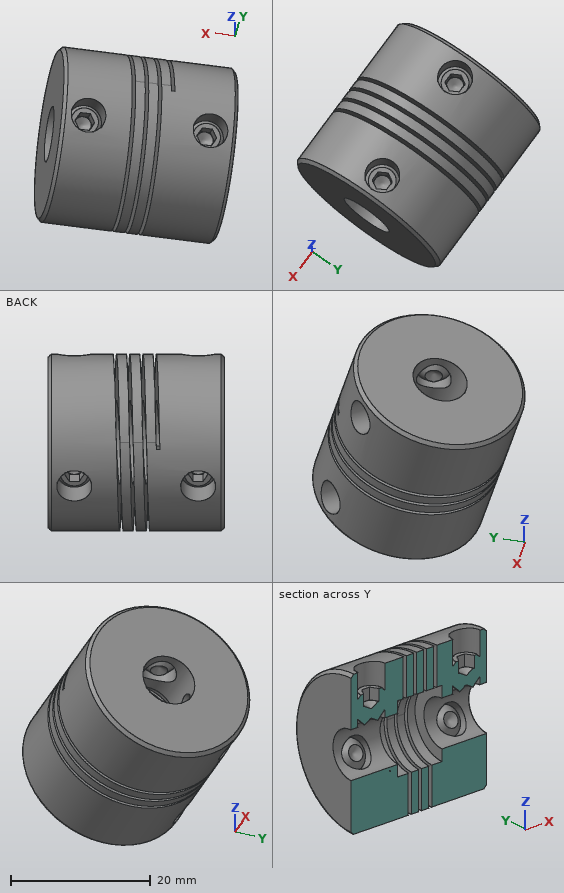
import cadquery as cq
import math

length = 25.4
outer_radius = 12.7
edge_chamfer = 0.5
bore_diameter = 8.0
bore_radius = bore_diameter / 2

relief_radius = 6.0
slot_width = 0.5
slot_pitch = 1.9
slot_turns = 3.5
slot_end_x = 3.53
slot_end_angle = 175.5
slot_length = slot_pitch * slot_turns
slot_start_x = slot_end_x - slot_length
slot_start_angle = slot_end_angle - 360 * slot_turns
slot_overcut = 0.5
slot_inner_radius = (bore_radius + relief_radius) / 2
slot_outer_radius = outer_radius + slot_overcut
relief_margin = 0.5
relief_start_x = slot_start_x - slot_width / 2 - relief_margin
relief_end_x = slot_end_x + slot_width / 2 + relief_margin

screw_diameter = 5.0
screw_radius = screw_diameter / 2
screw_length = 5.0
screw_offset = 8.9
screw_angles = (0, 120)
screw_chamfer = 0.5
socket_sides = 6
socket_flats = 2.5
socket_depth = 2.0
cup_radius = 1.25
cone_slope = math.radians(30)
cup_depth = cup_radius * math.tan(cone_slope)
tip_height = screw_radius - cup_radius


def cylinder_along_x(radius, start_x, end_x):
    """Solid cylinder centred on the shaft axis."""
    return cq.Workplane("YZ").workplane(offset=start_x).circle(radius).extrude(end_x - start_x)


def helical_slot():
    """Rectangular section swept along a helix, then turned from Z onto X."""
    helix = cq.Wire.makeHelix(slot_pitch, slot_length, outer_radius)
    slot = (
        cq.Workplane("XZ")
        .center((slot_inner_radius + slot_outer_radius) / 2, 0)
        .rect(slot_outer_radius - slot_inner_radius, slot_width)
        .sweep(cq.Workplane(obj=helix), isFrenet=True)
        .rotate((0, 0, 0), (0, 0, 1), slot_start_angle)
    )
    axis_plane = cq.Plane(origin=(slot_start_x, 0, 0), xDir=(0, 1, 0), normal=(1, 0, 0))
    return cq.Workplane(obj=slot.val().moved(cq.Location(axis_plane)))


def set_screw():
    """Upright cup-point screw whose tip just reaches the bore wall."""
    tip_z = bore_radius
    top_z = tip_z + screw_length
    screw = (
        cq.Workplane("XZ")
        .moveTo(0, tip_z + cup_depth)
        .lineTo(cup_radius, tip_z)
        .lineTo(screw_radius, tip_z + tip_height)
        .lineTo(screw_radius, top_z - screw_chamfer)
        .lineTo(screw_radius - screw_chamfer, top_z)
        .lineTo(0, top_z)
        .close()
        .revolve(360, (0, 0, 0), (0, 1, 0))
    )
    corner_diameter = socket_flats / math.cos(math.pi / socket_sides)
    socket_floor_z = top_z - socket_depth
    floor = cq.Workplane("XY").workplane(offset=socket_floor_z)
    socket = floor.polygon(socket_sides, corner_diameter).extrude(socket_depth)
    point_radius = socket_flats / 2
    point_depth = point_radius * math.tan(cone_slope)
    drill_point = cq.Solid.makeCone(
        point_radius, 0, point_depth, cq.Vector(0, 0, socket_floor_z), cq.Vector(0, 0, -1)
    )
    return screw.cut(socket).cut(cq.Workplane(obj=drill_point))


def place_screw_feature(feature, side, angle):
    """Move an upright feature to one hub and swing it about the shaft axis."""
    return feature.translate((side * screw_offset, 0, 0)).rotate((0, 0, 0), (1, 0, 0), -angle)


screw_hole = cq.Workplane("XY").circle(screw_radius).extrude(outer_radius)
screw = set_screw()

blank = cylinder_along_x(outer_radius, -length / 2, length / 2)
blank = blank.faces("<X or >X").chamfer(edge_chamfer)
bore = cylinder_along_x(bore_radius, -length / 2, length / 2)
relief = cylinder_along_x(relief_radius, relief_start_x, relief_end_x)

result = blank.cut(helical_slot()).cut(bore).cut(relief)
for side in (-1, 1):
    for angle in screw_angles:
        result = result.cut(place_screw_feature(screw_hole, side, angle))
        result = result.union(place_screw_feature(screw, side, angle))